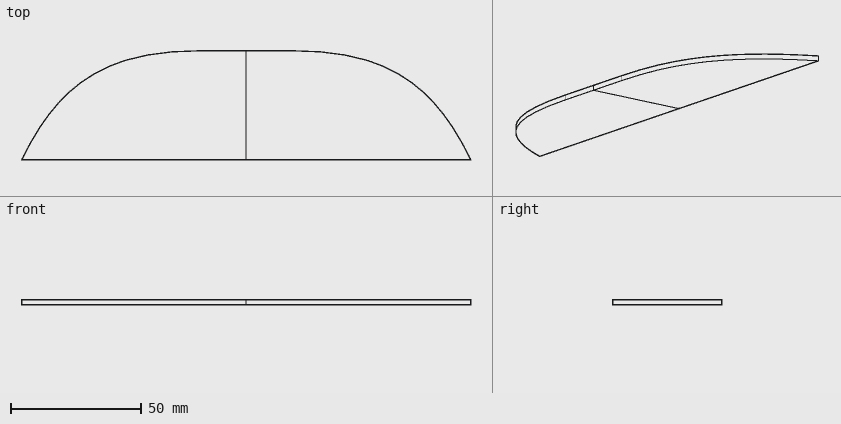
import cadquery as cq

total_width = 172.66
depth = 42.0
thickness = 2.0
crown_half_width = 17.3

half_width = total_width / 2

crown_end = (crown_half_width, depth)
crown_handle = (52.2, depth)
tip_handle = (71.5, 30.8)
tip = (half_width, 0)


def half_plate(side):
    """One half of the plate, on the +X (side = 1) or -X (side = -1) side of the seam."""
    rim_curve = [(side * x, y) for x, y in (crown_end, crown_handle, tip_handle, tip)]
    return (
        cq.Workplane("XY")
        .lineTo(0, depth)
        .lineTo(side * crown_half_width, depth)
        .bezier(rim_curve)
        .close()
        .extrude(thickness)
    )


half_plates = [half_plate(side) for side in (-1, 1)]

result = cq.Compound.makeCompound([half.val() for half in half_plates])